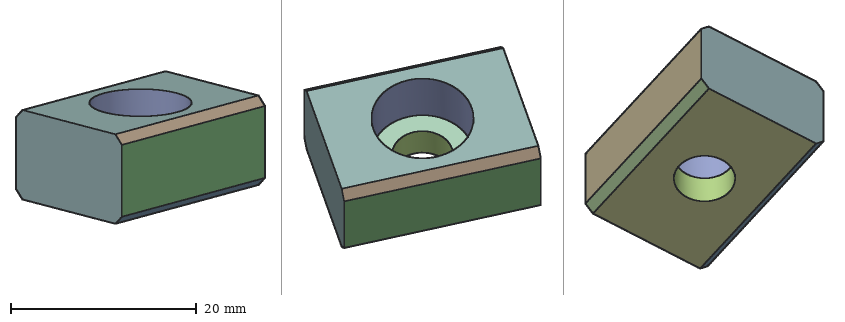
import cadquery as cq

width = 16.0
length = 22.0
height = 10.0
edge_chamfer = 1.0

hole_diameter = 6.6
counterbore_diameter = 11.0
counterbore_depth = 6.3

block = cq.Workplane("XY").box(width, length, height).edges("|Y").chamfer(edge_chamfer)

result = (
    block.faces(">Z")
    .workplane()
    .cboreHole(hole_diameter, counterbore_diameter, counterbore_depth)
)